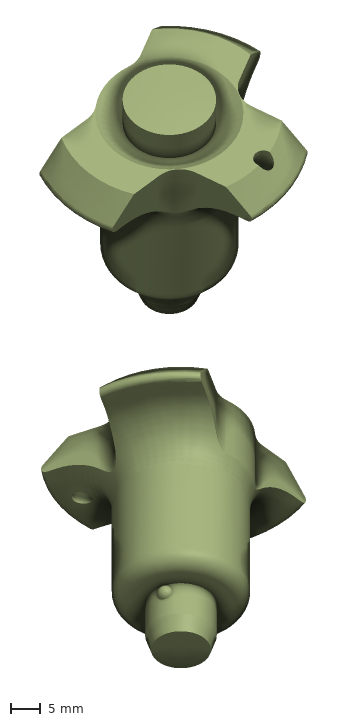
import cadquery as cq
import math

shank_radius = 6.0
tip_radius = 5.0
tip_height = 3.0

barrel_radius = 11.55
barrel_bottom = 9.45
barrel_round = 2.95

grip_radius = 23.45
grip_bottom = 39.2
grip_top = 45.3
rim_round = 1.0
flare_radius = 9.0
bevel_angle = 45.0
lobe_width = 17.4
side_lobe_angle = 103.6
hub_radius = 12.4
blend_radius = 5.0

dish_radius = 12.35
dish_round_edge = 9.95
dish_slope = 35.0

button_radius = 7.8
button_edge_height = 48.8
total_height = 49.4

lanyard_hole_radius = 1.75
lanyard_hole_x = 18.55

ball_radius = 1.45
ball_offset = 5.6
ball_height = 7.95


def make_turned_body():
    """Revolve the shank, barrel, flare and bevelled rim."""
    flare_bottom = grip_bottom - flare_radius
    flare_center_r = barrel_radius + flare_radius
    flare_mid = flare_radius * math.sqrt(0.5)
    round_mid = barrel_round * math.sqrt(0.5)
    barrel_round_r = barrel_radius - barrel_round
    barrel_round_z = barrel_bottom + barrel_round

    bevel = math.radians(bevel_angle)
    rim_r = grip_radius - rim_round
    rim_z = grip_bottom + rim_round
    bevel_start_r = rim_r + rim_round * math.sin(bevel)
    bevel_start_z = rim_z + rim_round * math.cos(bevel)
    bevel_end_r = bevel_start_r - (grip_top - bevel_start_z) / math.tan(bevel)

    return (
        cq.Workplane("XZ")
        .lineTo(tip_radius, 0)
        .lineTo(shank_radius, tip_height)
        .lineTo(shank_radius, barrel_bottom)
        .lineTo(barrel_round_r, barrel_bottom)
        .threePointArc(
            (barrel_round_r + round_mid, barrel_round_z - round_mid),
            (barrel_radius, barrel_round_z),
        )
        .lineTo(barrel_radius, flare_bottom)
        .threePointArc(
            (flare_center_r - flare_mid, flare_bottom + flare_mid),
            (flare_center_r, grip_bottom),
        )
        .lineTo(rim_r, grip_bottom)
        .threePointArc((grip_radius, rim_z), (bevel_start_r, bevel_start_z))
        .lineTo(bevel_end_r, grip_top)
        .lineTo(0, grip_top)
        .close()
        .revolve(360, (0, 0, 0), (0, 1, 0))
    )


def make_lobe(angle):
    """Straight-sided bar running outward from the axis."""
    length = 1.2 * grip_radius
    bar = cq.Workplane("XY").rect(length, lobe_width).extrude(grip_top)
    return bar.translate((length / 2, 0, 0)).rotate((0, 0, 0), (0, 0, 1), angle)


def make_grip_outline():
    """Prism with the plan shape of the lobes, hub and blends between them."""
    outline = make_lobe(0)
    for angle in (side_lobe_angle, -side_lobe_angle):
        outline = outline.union(make_lobe(angle))

    half_width = lobe_width / 2
    corner_x = half_width / math.tan(math.radians(side_lobe_angle / 2))
    for side in (1, -1):
        corner = (corner_x, side * half_width, grip_top / 2)
        outline = outline.edges(cq.NearestToPointSelector(corner)).fillet(blend_radius)

    hub = cq.Workplane("XY").circle(hub_radius).extrude(grip_top)
    back_half = cq.Workplane("XY").box(
        hub_radius, 2 * hub_radius, grip_top, centered=(False, True, False)
    ).translate((-hub_radius, 0, 0))
    outline = outline.union(hub.intersect(back_half))
    edge_angle = math.radians(side_lobe_angle) + math.asin(half_width / hub_radius)
    for side in (1, -1):
        edge_point = (
            hub_radius * math.cos(edge_angle),
            side * hub_radius * math.sin(edge_angle),
            grip_top / 2,
        )
        outline = outline.edges(cq.NearestToPointSelector(edge_point)).fillet(blend_radius)
    return outline


def make_dish():
    """Conical recess that levels out through a tangent round to the button."""
    slope = math.radians(dish_slope)
    cone_bottom = grip_top - (dish_radius - dish_round_edge) * math.tan(slope)
    round_radius = (dish_round_edge - button_radius) / math.sin(slope)
    floor = cone_bottom - round_radius * (1 - math.cos(slope))
    round_mid = (
        button_radius + round_radius * math.sin(slope / 2),
        floor + round_radius * (1 - math.cos(slope / 2)),
    )
    return (
        cq.Workplane("XZ")
        .moveTo(0, floor)
        .lineTo(button_radius, floor)
        .threePointArc(round_mid, (dish_round_edge, cone_bottom))
        .lineTo(dish_radius, grip_top)
        .lineTo(0, grip_top)
        .close()
        .revolve(360, (0, 0, 0), (0, 1, 0))
    )


def make_button():
    """Domed push button rooted in the grip below the dish."""
    dome_height = total_height - button_edge_height
    dome_radius = (button_radius**2 + dome_height**2) / (2 * dome_height)
    mid_r = button_radius / 2
    mid_z = total_height - dome_radius + math.sqrt(dome_radius**2 - mid_r**2)
    return (
        cq.Workplane("XZ")
        .moveTo(0, grip_bottom)
        .lineTo(button_radius, grip_bottom)
        .lineTo(button_radius, button_edge_height)
        .threePointArc((mid_r, mid_z), (0, total_height))
        .close()
        .revolve(360, (0, 0, 0), (0, 1, 0))
    )


def make_balls():
    """Two opposed locking balls, half sunk in the shank."""
    return (
        cq.Workplane("XY", origin=(0, 0, ball_height))
        .pushPoints([(0, ball_offset), (0, -ball_offset)])
        .sphere(ball_radius)
    )


lanyard_hole = (
    cq.Workplane("XY")
    .center(lanyard_hole_x, 0)
    .circle(lanyard_hole_radius)
    .extrude(grip_top)
)

result = make_turned_body().intersect(make_grip_outline())
result = result.cut(make_dish()).cut(lanyard_hole)
result = result.union(make_button()).union(make_balls())